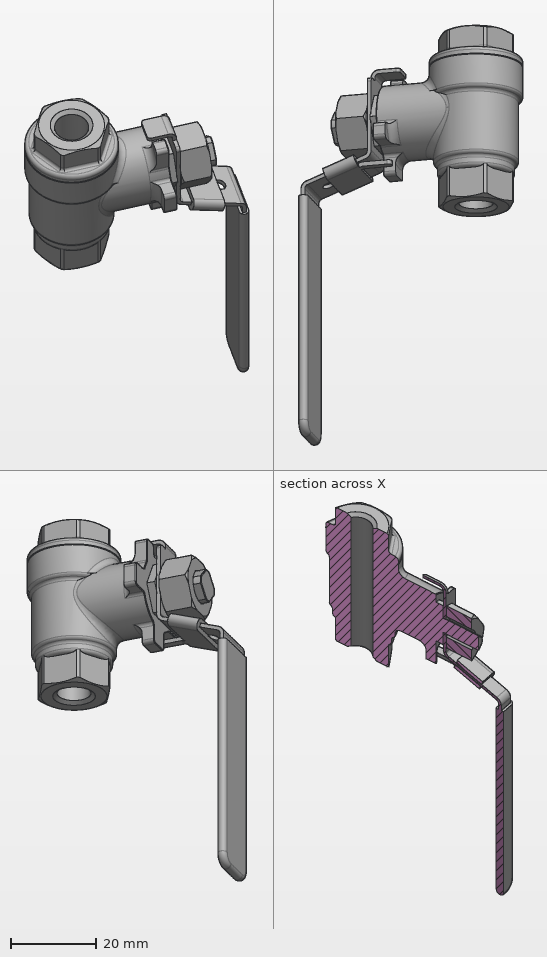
import cadquery as cq
import math


overall_y = 52.6
overall_z = 96.0

top_z = 20.1
bottom_z = -22.1
collar_top_z = 14.1
collar_bottom_z = 4.9
barrel_bottom_z = -11.0
base_end_z = -14.9
collar_d = 22.0
barrel_d = 20.0
base_d = 18.1
shoulder_r = 1.0
groove_top_z = 12.2
groove_bottom_z = 12.0
groove_depth = 0.1
collar_edge_r = 1.0
hex_root_r = 0.8
end_hex_flats = 16.0
end_hex_corner_d = 18.0
end_face_d = 15.5
end_chamfer_angle = 28
bore_d = 8.0
bore_mouth_d = 10.0
bore_mouth_depth = 0.8

neck_d = 18.0
neck_end_y = 21.8
neck_root_r = 1.9
ear_thickness = 3.1
ear_back_r = 2.0
ear_corner_r = 1.0
long_ear_reach = 13.4
long_ear_width = 6.0
short_ear_reach = 11.8
short_ear_width = 4.0
short_ear_offset = 5.0
flange_edge = 0.2

gland_flats = 12.4
stem_d = 8.0
stem_flats = 6.8
stem_end_y = 34.3
stem_edge = 0.2
nut_flats = 13.4
nut_face_d = 13.8
nut_end_y = 32.3
nut_chamfer_angle = 30

strip_thickness = 1.0
strip_width = 12.0
bend_r = 1.5
slope_angle = 20
plate_y = 23.8 + strip_thickness / 2
plate_top_z = 10.1
plate_corner_r = 1.0
tab_width = 6.0
tab_corner_r = 0.9
tab_end_y = 17.8
tab_z = 12.2
slope_start_z = -9.0
grip_thickness = 2.3
grip_y = overall_y - collar_d / 2 - grip_thickness / 2
grip_width = 13.2
grip_top_z = -17.6
grip_bottom_z = top_z - overall_z
grip_corner_r = 3.3
lock_hole_d = 3.0
lock_hole_y = 36.0

latch_y = 31.2
latch_length = 8.0
latch_width = 15.1
latch_thickness = 3.1
tongue_end_y = 19.3
tongue_bend_y = 26.3
tongue_left_x = -5.1
tongue_right_x = -3.1
tongue_corner_r = 0.9

gland_end_y = plate_y - strip_thickness / 2
nut_start_y = plate_y + strip_thickness / 2
slope = math.tan(math.radians(slope_angle))


def slope_z(y):
    """Height of the middle of the handle's sloping length."""
    return slope_start_z - (y - plate_y) * slope


def along_y(y):
    """Workplane facing +Y at the given distance along the stem; local x is -X, local y is Z."""
    return cq.Workplane("XZ", origin=(0, y, 0)).transformed(rotate=(0, 180, 0))


def hexagon_d(flats):
    """Distance across the corners of a hexagon."""
    return flats / math.cos(math.radians(30))


def chamfer_envelope(face_d, outer_d, length, angle, both_ends):
    """Round blank standing on z = 0 whose ends taper to face_d; it trims the corners of a hexagon."""
    drop = (outer_d - face_d) / 2 * math.tan(math.radians(angle))
    blank = cq.Workplane("XY").circle(outer_d / 2).extrude(length)
    ends = "<Z or >Z" if both_ends else ">Z"
    return blank.faces(ends).chamfer(drop, (outer_d - face_d) / 2)


def end_hexagon(length):
    """Pipe-end hexagon with its open end at the top and flats facing +X and -X."""
    prism = cq.Workplane("XY").polygon(6, hexagon_d(end_hex_flats)).extrude(length)
    prism = prism.rotate((0, 0, 0), (0, 0, 1), 30)
    envelope = chamfer_envelope(end_face_d, end_hex_corner_d, length, end_chamfer_angle, False)
    return prism.intersect(envelope)


def shoulder(profile, r_from, r_to, z_from):
    """Add two equal opposed arcs that step the radius down below z_from."""
    turn = math.acos(1 - (r_from - r_to) / (2 * shoulder_r))
    half_drop = shoulder_r * math.sin(turn)
    mid_r = (r_from + r_to) / 2
    bulge = shoulder_r * (1 - math.cos(turn / 2))
    reach = shoulder_r * math.sin(turn / 2)
    z_to = z_from - 2 * half_drop
    profile = profile.threePointArc((r_from - bulge, z_from - reach), (mid_r, z_from - half_drop))
    return profile.threePointArc((r_to + bulge, z_to + reach), (r_to, z_to))


def make_barrel():
    """Turned middle of the valve body: collar, barrel and base."""
    profile = cq.Workplane("XZ").moveTo(0, collar_top_z).lineTo(collar_d / 2, collar_top_z)
    for r, z in (
        (collar_d / 2, groove_top_z),
        (collar_d / 2 - groove_depth, groove_top_z),
        (collar_d / 2 - groove_depth, groove_bottom_z),
        (collar_d / 2, groove_bottom_z),
        (collar_d / 2, collar_bottom_z),
    ):
        profile = profile.lineTo(r, z)
    profile = shoulder(profile, collar_d / 2, barrel_d / 2, collar_bottom_z)
    profile = profile.lineTo(barrel_d / 2, barrel_bottom_z)
    profile = shoulder(profile, barrel_d / 2, base_d / 2, barrel_bottom_z)
    profile = profile.lineTo(base_d / 2, base_end_z).lineTo(0, base_end_z).close()
    barrel = profile.revolve(360, (0, 0), (0, 1))
    return barrel.faces("<Z").edges().fillet(shoulder_r)


def make_flange():
    """Flange whose four stop ears blend back into the neck."""
    outline = (
        cq.Sketch()
        .circle(neck_d / 2)
        .push([(long_ear_reach / 2, 0)])
        .rect(long_ear_reach, long_ear_width)
        .reset()
        .push([(0, -long_ear_reach / 2)])
        .rect(long_ear_width, long_ear_reach)
        .reset()
        .push([(-short_ear_reach / 2, -short_ear_offset)])
        .rect(short_ear_reach, short_ear_width)
        .reset()
        .push([(short_ear_offset, short_ear_reach / 2)])
        .rect(short_ear_width, short_ear_reach)
        .reset()
        .clean()
        .vertices()
        .fillet(ear_corner_r)
    )
    depth = ear_thickness + ear_back_r
    prism = cq.Workplane("XZ", origin=(0, neck_end_y, 0)).placeSketch(outline).extrude(depth)
    prism = prism.faces(">Y").chamfer(flange_edge)
    root_r = neck_d / 2
    back_y = neck_end_y - ear_thickness
    arc_x = root_r + ear_back_r * (1 - math.sqrt(0.5))
    arc_y = back_y - ear_back_r * (1 - math.sqrt(0.5))
    envelope = (
        cq.Workplane("XY")
        .moveTo(0, back_y - ear_back_r)
        .lineTo(root_r, back_y - ear_back_r)
        .threePointArc((arc_x, arc_y), (root_r + ear_back_r, back_y))
        .lineTo(2 * long_ear_reach, back_y)
        .lineTo(2 * long_ear_reach, neck_end_y)
        .lineTo(0, neck_end_y)
        .close()
        .revolve(360, (0, 0), (0, 1))
    )
    return prism.intersect(envelope)


def stem_section(y_start, y_end):
    """Square bar turned 45 degrees about Y, with its corners rounded to the stem diameter."""
    length = y_end - y_start
    square = along_y(y_start).transformed(rotate=(0, 0, 45)).rect(stem_flats, stem_flats).extrude(length)
    return square.intersect(along_y(y_start).circle(stem_d / 2).extrude(length))


def make_neck():
    """Round neck from the flow axis up to the back of the flange."""
    return along_y(0).circle(neck_d / 2).extrude(neck_end_y - ear_thickness - ear_back_r)


def neck_junction(pipe_d, z_low, z_high):
    """Slice of a pipe and the neck with a rounded root between them, kept between two heights."""
    pipe = cq.Workplane("XY", origin=(0, 0, bottom_z)).circle(pipe_d / 2).extrude(top_z - bottom_z)
    joined = pipe.union(make_neck())
    root = joined.edges(cq.selectors.TypeSelector("BSPLINE")).fillet(neck_root_r)
    slab = cq.Workplane("XY", origin=(0, 0, z_low)).box(
        2 * collar_d, 4 * collar_d, z_high - z_low, centered=(True, True, False)
    )
    return root.intersect(slab)


def make_pipe():
    """Collar, barrel and base with a hexagon at each end."""
    top_hexagon = end_hexagon(top_z - collar_top_z).translate((0, 0, collar_top_z))
    pipe = make_barrel().union(top_hexagon)
    at_collar_top = cq.selectors.BoxSelector(
        (-collar_d, -collar_d, collar_top_z - groove_depth), (collar_d, collar_d, collar_top_z + groove_depth)
    )
    pipe = pipe.edges(at_collar_top).edges(cq.selectors.RadiusNthSelector(-1)).fillet(collar_edge_r)
    pipe = pipe.edges(at_collar_top).edges("%LINE or %CIRCLE").fillet(hex_root_r)
    base_hexagon_top_z = base_end_z + shoulder_r
    base_hexagon = end_hexagon(base_hexagon_top_z - bottom_z).rotate((0, 0, 0), (1, 0, 0), 180)
    return pipe.union(base_hexagon.translate((0, 0, base_hexagon_top_z)))


def bore_mouth():
    """Cone that opens the top end of the bore."""
    mouth = cq.Workplane("XY", origin=(0, 0, top_z)).circle(bore_mouth_d / 2)
    return mouth.workplane(offset=-bore_mouth_depth).circle(bore_d / 2).loft()


def make_valve_body():
    """Pipe, neck, flange, gland and stem as one solid with a straight bore."""
    body = make_pipe()
    body = body.union(neck_junction(collar_d, collar_bottom_z, groove_bottom_z))
    body = body.union(neck_junction(barrel_d, barrel_bottom_z, collar_bottom_z))
    body = body.union(make_flange())
    gland_length = gland_end_y - neck_end_y
    gland = along_y(neck_end_y).polygon(6, hexagon_d(gland_flats)).extrude(gland_length)
    stem = stem_section(neck_end_y, stem_end_y).faces(">Y").chamfer(stem_edge)
    body = body.union(gland).union(stem)
    bore = cq.Workplane("XY", origin=(0, 0, bottom_z)).circle(bore_d / 2).extrude(top_z - bottom_z)
    body = body.cut(bore)
    mouth = bore_mouth()
    pipe_middle = (0, 0, (top_z + bottom_z) / 2)
    return body.cut(mouth).cut(mouth.mirror("XY", pipe_middle))


def make_nut():
    """Hexagon nut that clamps the handle plate."""
    length = nut_end_y - nut_start_y
    prism = cq.Workplane("XY").polygon(6, hexagon_d(nut_flats)).extrude(length)
    nut = prism.intersect(
        chamfer_envelope(nut_face_d, hexagon_d(nut_flats), length, nut_chamfer_angle, True)
    )
    nut = nut.cut(cq.Workplane("XY").circle(stem_d / 2).extrude(length))
    return nut.rotate((0, 0, 0), (1, 0, 0), -90).translate((0, nut_start_y, 0))


def bent_strip(points, width, thickness):
    """Flat strip that follows (y, z) points with rounded bends, centred on x = 0."""
    path = cq.Wire.makePolygon([cq.Vector(0, y, z) for y, z in points])
    path = path.fillet2D(bend_r, path.Vertices()[1:-1])
    start = cq.Plane(origin=path.startPoint(), xDir=(1, 0, 0), normal=path.tangentAt(0))
    return cq.Workplane(start).rect(width, thickness).sweep(path)


def make_grip():
    """Flat grip with a half-round rim along its sides and bottom."""
    rim_r = grip_thickness / 2
    core_half = grip_width / 2 - rim_r
    core_bottom_z = grip_bottom_z + rim_r
    corner_r = grip_corner_r - rim_r
    core = cq.Workplane("XY", origin=(0, grip_y, core_bottom_z)).box(
        2 * core_half, grip_thickness, grip_top_z - core_bottom_z, centered=(True, True, False)
    )
    core = core.edges("|Y and <Z").fillet(corner_r)
    rim_path = (
        cq.Workplane("XZ", origin=(0, grip_y, 0))
        .moveTo(-core_half, grip_top_z)
        .lineTo(-core_half, core_bottom_z + corner_r)
        .radiusArc((-core_half + corner_r, core_bottom_z), -corner_r)
        .lineTo(core_half - corner_r, core_bottom_z)
        .radiusArc((core_half, core_bottom_z + corner_r), -corner_r)
        .lineTo(core_half, grip_top_z)
    )
    rim_section = (
        cq.Workplane("XY", origin=(-core_half, grip_y, grip_top_z))
        .moveTo(0, rim_r)
        .threePointArc((-rim_r, 0), (0, -rim_r))
        .close()
    )
    return core.union(rim_section.sweep(rim_path))


def make_handle():
    """Bent strip with a narrow stop tab at its top and a thick grip at its bottom."""
    points = [
        (tab_end_y, tab_z),
        (plate_y, tab_z),
        (plate_y, slope_start_z),
        (grip_y, slope_z(grip_y)),
        (grip_y, grip_top_z - grip_thickness),
    ]
    strip = bent_strip(points, strip_width, strip_thickness)
    plate_length = plate_top_z - grip_bottom_z
    reach = 3 * grip_y
    plate = cq.Workplane("XY", origin=(0, 0, grip_bottom_z)).box(
        strip_width, reach, plate_length, centered=(True, True, False)
    )
    plate = plate.edges("|Y and >Z").fillet(plate_corner_r)
    tab = cq.Workplane("XY").box(tab_width, reach, reach, centered=(True, False, True))
    tab = tab.translate((0, tab_end_y, 0)).edges("|Z and <Y").fillet(tab_corner_r)
    handle = strip.intersect(plate.union(tab)).union(make_grip())
    lock_hole = cq.Workplane("XY").circle(lock_hole_d / 2).extrude(latch_thickness, both=True)
    lock_hole = lock_hole.rotate((0, 0, 0), (1, 0, 0), -slope_angle)
    handle = handle.cut(lock_hole.translate((0, lock_hole_y, slope_z(lock_hole_y))))
    return handle.cut(stem_section(gland_end_y, nut_start_y))


def make_latch():
    """Sliding sleeve around the handle, with a tongue that reaches between two stop ears."""
    sleeve = cq.Workplane("XZ").slot2D(latch_width, latch_thickness)
    sleeve = sleeve.rect(strip_width, strip_thickness).extrude(latch_length / 2, both=True)
    sleeve = sleeve.rotate((0, 0, 0), (1, 0, 0), -slope_angle)
    sleeve = sleeve.translate((0, latch_y, slope_z(latch_y)))
    wall = (latch_thickness - strip_thickness) / 2
    wall_drop = (latch_thickness + strip_thickness) / 4 / math.cos(math.radians(slope_angle))
    tongue_z = slope_z(tongue_bend_y) - wall_drop
    points = [
        (tongue_end_y, tongue_z),
        (tongue_bend_y, tongue_z),
        (latch_y, slope_z(latch_y) - wall_drop),
    ]
    tongue_width = tongue_right_x - tongue_left_x
    tongue = bent_strip(points, tongue_width, wall)
    tongue = tongue.faces("<Y").edges("|Z").fillet(tongue_corner_r)
    return sleeve.union(tongue.translate((tongue_left_x + tongue_width / 2, 0, 0)))


valve_body = make_valve_body()
nut = make_nut()
handle = make_handle()
latch = make_latch()
result = cq.Compound.makeCompound([body.solids().val() for body in (valve_body, nut, handle, latch)])